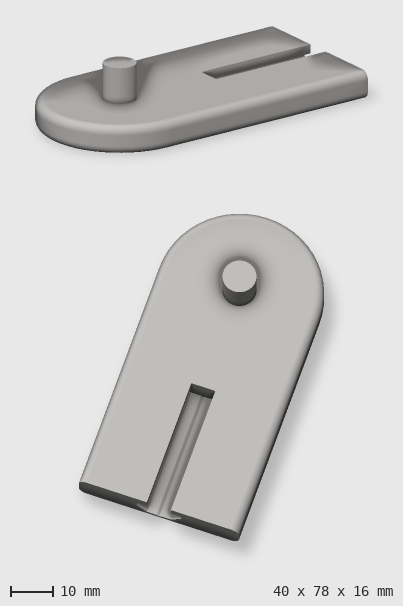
import cadquery as cq

length = 78.0
width = 40.0
thickness = 7.0
edge_radius = 2.0
end_radius = width / 2
arm_length = length - end_radius

pin_diameter = 8.0
total_height = 16.0

slot_length = 32.0
mouth_width = 6.0
lip_thickness = 2.3
cavity_width = 11.1
floor_width = 6.0
floor_height = 0.85

groove_width = 1.25
groove_depth = 0.36


def make_plate():
    """Flat arm with one round end; its long edges are rounded, the square end is sharp."""
    outline = (
        cq.Workplane("XY")
        .moveTo(-end_radius, arm_length)
        .lineTo(-end_radius, 0)
        .threePointArc((0, -end_radius), (end_radius, 0))
        .lineTo(end_radius, arm_length)
        .close()
    )
    plate = outline.extrude(thickness)
    return plate.faces("|Z").edges("not(>Y)").fillet(edge_radius)


def make_pin():
    return cq.Workplane("XY").circle(pin_diameter / 2).extrude(total_height)


def make_slot():
    """T-shaped slot with 45 degree lower walls and a grooved floor."""
    lip_bottom = thickness - lip_thickness
    wall_bottom = floor_height + (cavity_width - floor_width) / 2
    profile = (
        cq.Workplane("XZ", origin=(0, arm_length, 0))
        .moveTo(-mouth_width / 2, thickness)
        .lineTo(-mouth_width / 2, lip_bottom)
        .lineTo(-cavity_width / 2, lip_bottom)
        .lineTo(-cavity_width / 2, wall_bottom)
        .lineTo(-floor_width / 2, floor_height)
        .lineTo(-groove_width / 2, floor_height)
        .lineTo(0, floor_height - groove_depth)
        .lineTo(groove_width / 2, floor_height)
        .lineTo(floor_width / 2, floor_height)
        .lineTo(cavity_width / 2, wall_bottom)
        .lineTo(cavity_width / 2, lip_bottom)
        .lineTo(mouth_width / 2, lip_bottom)
        .lineTo(mouth_width / 2, thickness)
        .close()
    )
    return profile.extrude(slot_length)


result = make_plate().union(make_pin()).cut(make_slot())